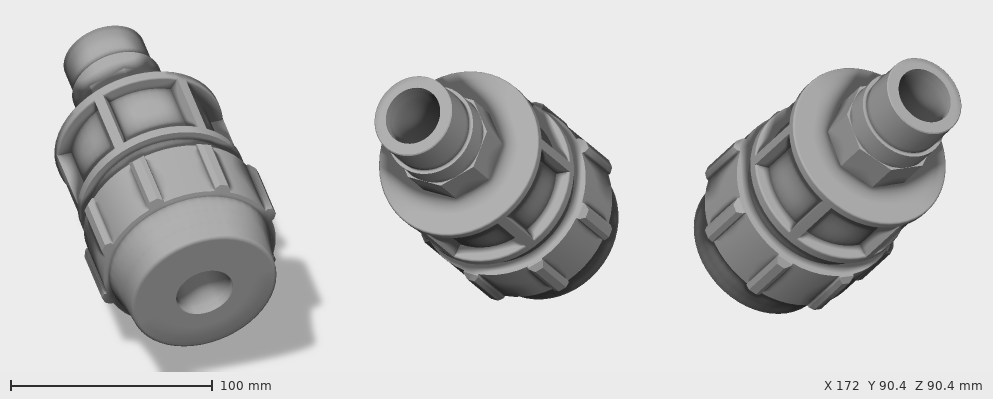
import cadquery as cq
import math

TOTAL_LENGTH = 172.0
SHOULDER_START = 21.8
OCTAGON_START = 34.7
OCTAGON_END = 54.5
COLLAR_START = 57.0
POCKET_START = 62.3
POCKET_END = 96.5
COLLAR_END = 101.8
NUT_START = 113.0
NUT_GRIP_END = 147.2

BORE_DIA = 29.4
SPIGOT_DIA = 42.0
SHOULDER_DIA = 46.1
OCTAGON_ACROSS_CORNERS = 50.0
THROAT_SMALL_DIA = 38.5
THROAT_LARGE_DIA = 45.0
COLLAR_DIA = 86.3
POCKET_FLOOR_DIA = 71.9
NECK_DIA = 76.9
NUT_DIA = 89.5
NUT_CROWN_DIA = 84.0
NUT_CROWN_MIDDLE_DIA = 78.5
NUT_MOUTH_DIA = 75.7

OCTAGON_SIDES = 8

SPIGOT_TIP_CHAMFER = 0.5
COLLAR_RIM_FILLET = 1.0
MOUTH_FILLET = 2.0

COLLAR_RIB_COUNT = 6
COLLAR_RIB_WIDTH = 5.2

GRIP_RIB_COUNT = 8
GRIP_RIB_TOP_RADIUS = 48.0
GRIP_RIB_WIDTH = 8.5
GRIP_RIB_CHAMFER = 2.0
GRIP_RIB_RAMP_LENGTH = 2.8
GRIP_RIB_RAMP_DROP = 2.5
GRIP_CONE_LENGTH = 2.0

COS_45 = math.sqrt(0.5)
FULL_TURN = 360.0


def cylinder(x_start, x_end, diameter):
    """Cylinder on the X axis between two stations."""
    return cq.Workplane("YZ").workplane(offset=x_start).circle(diameter / 2).extrude(x_end - x_start)


def revolve_about_x(profile):
    """Turn a closed XY profile about the X axis."""
    return profile.close().revolve(FULL_TURN, (0, 0, 0), (1, 0, 0))


def make_spigot():
    """Stepped spigot, octagon and the conical throat that enters the collar."""
    spigot = cylinder(0, SHOULDER_START, SPIGOT_DIA).faces("<X").chamfer(SPIGOT_TIP_CHAMFER)
    shoulder = cylinder(SHOULDER_START, OCTAGON_START, SHOULDER_DIA)
    octagon = (
        cq.Workplane("YZ")
        .workplane(offset=OCTAGON_START)
        .polygon(OCTAGON_SIDES, OCTAGON_ACROSS_CORNERS)
        .extrude(OCTAGON_END - OCTAGON_START)
    )
    throat = revolve_about_x(
        cq.Workplane("XY")
        .moveTo(OCTAGON_END, 0)
        .lineTo(OCTAGON_END, THROAT_SMALL_DIA / 2)
        .lineTo(COLLAR_START, THROAT_LARGE_DIA / 2)
        .lineTo(COLLAR_START, 0)
    )
    return spigot.union(shoulder).union(octagon).union(throat)


def make_collar():
    """Collar with a ring of pockets, their rims rounded, separated by radial ribs."""
    radius = COLLAR_DIA / 2
    floor = POCKET_FLOOR_DIA / 2
    fillet = COLLAR_RIM_FILLET
    arc_middle = fillet * (1 - COS_45)

    collar = cylinder(COLLAR_START, COLLAR_END, COLLAR_DIA).faces("<X").edges().fillet(fillet)
    pocket_ring = revolve_about_x(
        cq.Workplane("XY")
        .moveTo(POCKET_START, floor)
        .lineTo(POCKET_START, radius - fillet)
        .threePointArc((POCKET_START - arc_middle, radius - arc_middle), (POCKET_START - fillet, radius))
        .lineTo(POCKET_START - fillet, radius + fillet)
        .lineTo(POCKET_END + fillet, radius + fillet)
        .lineTo(POCKET_END + fillet, radius)
        .threePointArc((POCKET_END + arc_middle, radius - arc_middle), (POCKET_END, radius - fillet))
        .lineTo(POCKET_END, floor)
    )
    for index in range(COLLAR_RIB_COUNT // 2):
        slab = (
            cq.Workplane("XY")
            .box(TOTAL_LENGTH, 2 * COLLAR_DIA, COLLAR_RIB_WIDTH)
            .translate((TOTAL_LENGTH / 2, 0, 0))
            .rotate((0, 0, 0), (1, 0, 0), index * FULL_TURN / COLLAR_RIB_COUNT)
        )
        pocket_ring = pocket_ring.cut(slab)
    return collar.cut(pocket_ring)


def make_grip_rib():
    """Grip rib along +Z: chamfered along its top edges and ramped at the collar end."""
    top = GRIP_RIB_TOP_RADIUS
    root = NUT_CROWN_DIA / 2
    half_width = GRIP_RIB_WIDTH / 2
    half_top = half_width - GRIP_RIB_CHAMFER
    section = (
        cq.Workplane("YZ")
        .workplane(offset=NUT_START)
        .polyline([
            (-half_width, root),
            (-half_width, top - GRIP_RIB_CHAMFER),
            (-half_top, top),
            (half_top, top),
            (half_width, top - GRIP_RIB_CHAMFER),
            (half_width, root),
        ])
        .close()
        .extrude(NUT_GRIP_END - NUT_START)
    )
    side = (
        cq.Workplane("XZ")
        .polyline([
            (NUT_START, root),
            (NUT_START, top - GRIP_RIB_RAMP_DROP),
            (NUT_START + GRIP_RIB_RAMP_LENGTH, top),
            (NUT_GRIP_END, top),
            (NUT_GRIP_END, root),
        ])
        .close()
        .extrude(half_width, both=True)
    )
    return section.intersect(side)


def make_nut():
    """Grip band with ribs, a steep cone behind them and a hollow-curved crown."""
    band = cylinder(NUT_START, NUT_GRIP_END, NUT_DIA)
    rib = make_grip_rib()
    for index in range(GRIP_RIB_COUNT):
        angle = (index + 0.5) * FULL_TURN / GRIP_RIB_COUNT
        band = band.union(rib.rotate((0, 0, 0), (1, 0, 0), angle))

    outer = math.hypot(GRIP_RIB_TOP_RADIUS, GRIP_RIB_WIDTH / 2)
    envelope = revolve_about_x(
        cq.Workplane("XY")
        .moveTo(NUT_START, 0)
        .lineTo(NUT_START, outer)
        .lineTo(NUT_GRIP_END - GRIP_CONE_LENGTH, outer)
        .lineTo(NUT_GRIP_END, NUT_CROWN_DIA / 2)
        .lineTo(NUT_GRIP_END, 0)
    )
    fillet_start = TOTAL_LENGTH - MOUTH_FILLET
    mouth = NUT_MOUTH_DIA / 2
    arc_middle = MOUTH_FILLET * (1 - COS_45)
    crown = revolve_about_x(
        cq.Workplane("XY")
        .moveTo(NUT_GRIP_END, 0)
        .lineTo(NUT_GRIP_END, NUT_CROWN_DIA / 2)
        .threePointArc(
            ((NUT_GRIP_END + fillet_start) / 2, NUT_CROWN_MIDDLE_DIA / 2),
            (fillet_start, mouth),
        )
        .threePointArc((TOTAL_LENGTH - arc_middle, mouth - arc_middle), (TOTAL_LENGTH, mouth - MOUTH_FILLET))
        .lineTo(TOTAL_LENGTH, 0)
    )
    return band.intersect(envelope).union(crown)


neck = cylinder(COLLAR_END, NUT_START, NECK_DIA)
bore = cylinder(0, TOTAL_LENGTH, BORE_DIA)
result = make_spigot().union(make_collar()).union(neck).union(make_nut()).cut(bore)